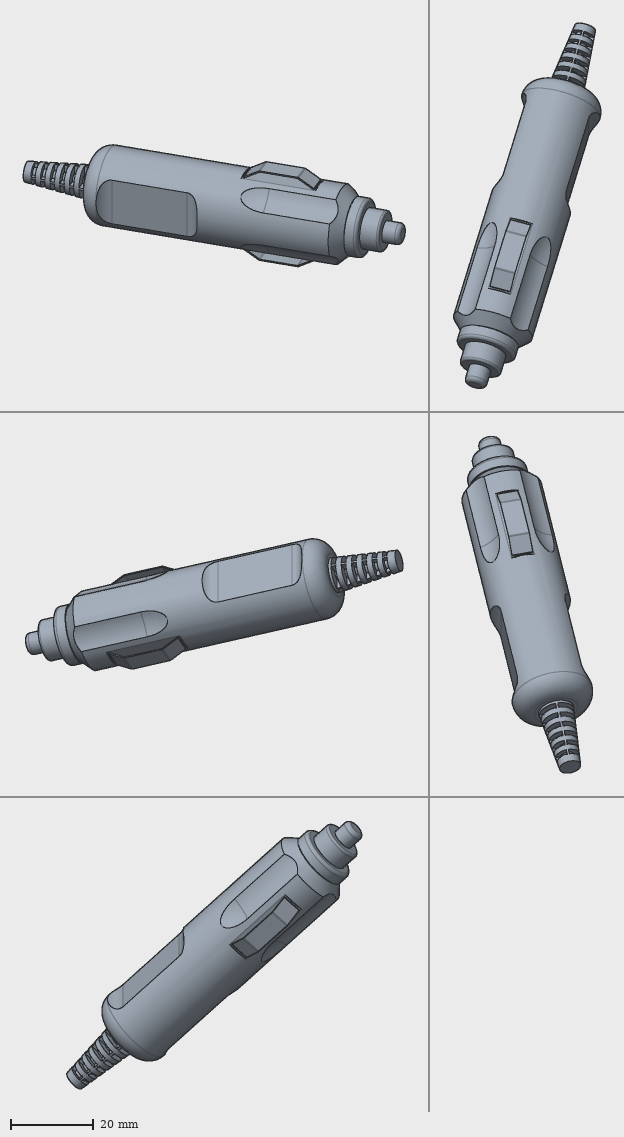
import cadquery as cq
import math


total_length = 97.4
housing_diameter = 20.0
housing_radius = housing_diameter / 2
span_over_clips = 24.6

sleeve_tip_radius = 2.6
sleeve_root_radius = 4.4
sleeve_core_radius = 1.8
sleeve_slot_count = 6
first_slot_start = 2.0
last_slot_start = 15.0
sleeve_slot_pitch = (last_slot_start - first_slot_start) / (sleeve_slot_count - 1)
sleeve_slot_width = 1.2
sleeve_rib_width = 0.6

housing_start = 16.85
rear_round = 4.6
shoulder_start = 81.6
housing_end = 84.7
housing_end_radius = 7.0

flat_start = 24.9
flat_length = 19.4
flat_distance = 8.0
flat_corner_radius = 3.9

flute_count = 4
flute_first_angle = 45.0
flute_radius = 9.3
flute_depth = 1.1
flute_runout_radius = 19.5
flute_runout_end = 64.4

collar_radius = 7.4
collar_end = 88.05
collar_round = 0.9
neck_radius = 5.2
neck_end = 92.9
neck_round = 0.6
contact_radius = 2.7
contact_round = 1.2

clip_center = 66.1
clip_top = span_over_clips / 2
clip_width = 5.2
clip_thickness = 0.34
clip_inner_bend_radius = 0.2
clip_bridge_length = 10.0
clip_bend_offset = clip_bridge_length / 2
clip_leg_angle = math.radians(30.0)
clip_seat_length = 19.2
clip_seat_width = 5.65
clip_seat_height = math.sqrt(housing_radius**2 - (clip_seat_width / 2) ** 2)

opposite_angles = (0, 180)


def turned(angle, shape):
    """Turn a shape about the plug axis, the X axis."""
    return shape.rotate((0, 0, 0), (1, 0, 0), angle)


def cylinder_along_x(radius, start, end):
    return cq.Workplane("YZ", origin=(start, 0, 0)).circle(radius).extrude(end - start)


def make_barrel():
    """Revolved housing: rounded rear end, straight barrel and conical shoulder."""
    round_middle = rear_round * (1 - math.sqrt(0.5))
    outline = (
        cq.Workplane("XY")
        .moveTo(housing_start, 0)
        .lineTo(housing_start, housing_radius - rear_round)
        .threePointArc(
            (housing_start + round_middle, housing_radius - round_middle),
            (housing_start + rear_round, housing_radius),
        )
        .lineTo(shoulder_start, housing_radius)
        .lineTo(housing_end, housing_end_radius)
        .lineTo(housing_end, 0)
        .close()
    )
    return outline.revolve(360, (0, 0, 0), (1, 0, 0))


def make_sleeve():
    """Tapered cable sleeve with rings of slots, split by four ribs that run along it."""
    sleeve = (
        cq.Workplane("XY")
        .polyline([(0, 0), (0, sleeve_tip_radius), (housing_start, sleeve_root_radius), (housing_start, 0)])
        .close()
        .revolve(360, (0, 0, 0), (1, 0, 0))
    )
    rib_span = 2 * sleeve_root_radius
    for index in range(sleeve_slot_count):
        slot_start = first_slot_start + index * sleeve_slot_pitch
        plane = cq.Workplane("YZ", origin=(slot_start, 0, 0))
        ring = plane.circle(sleeve_root_radius).circle(sleeve_core_radius).extrude(sleeve_slot_width)
        upright_ribs = plane.rect(sleeve_rib_width, rib_span).extrude(sleeve_slot_width)
        level_ribs = plane.rect(rib_span, sleeve_rib_width).extrude(sleeve_slot_width)
        sleeve = sleeve.cut(ring.cut(upright_ribs).cut(level_ribs))
    return sleeve


def make_flat_cutter():
    """Block that cuts the -Y finger flat, its floor curving up to the barrel at both ends."""
    cutter_length = flat_length + 2 * flat_corner_radius
    cutter_depth = 2 * flat_corner_radius
    return (
        cq.Workplane("XY")
        .box(cutter_length, cutter_depth, 2 * housing_radius)
        .edges("|Z and >Y")
        .fillet(flat_corner_radius)
        .translate((flat_start + flat_length / 2, -flat_distance - cutter_depth / 2, 0))
    )


def make_flute_cutter():
    """Round bar above the axis that cuts a flute, with a curved rear end that runs out of the barrel."""
    floor_height = housing_radius - flute_depth
    bar_height = floor_height + flute_radius
    turning_offset = flute_runout_radius - flute_radius
    plane = cq.Workplane("YZ", origin=(flute_runout_end, 0, bar_height))
    bar = plane.circle(flute_radius).extrude(housing_end - flute_runout_end)
    runout = plane.circle(flute_radius).revolve(90, (0, turning_offset, 0), (1, turning_offset, 0))
    return bar.union(runout)


def make_clip_seat_cutter():
    """Block that cuts the shallow +Z flat under a clip."""
    cutter_height = housing_radius - clip_seat_height
    return (
        cq.Workplane("XY", origin=(clip_center, 0, clip_seat_height))
        .rect(clip_seat_length, clip_seat_width)
        .extrude(cutter_height)
    )


def make_housing():
    housing = make_barrel().union(make_sleeve())
    for angle in opposite_angles:
        housing = housing.cut(turned(angle, make_flat_cutter()))
    for index in range(flute_count):
        angle = flute_first_angle + index * 360 / flute_count
        housing = housing.cut(turned(angle, make_flute_cutter()))
    for angle in opposite_angles:
        housing = housing.cut(turned(angle, make_clip_seat_cutter()))
    return housing


def make_nose():
    """Collar, neck and round-ended contact that stand on the front face of the housing."""
    collar = cylinder_along_x(collar_radius, housing_end, collar_end).edges(">X").fillet(collar_round)
    neck = cylinder_along_x(neck_radius, collar_end, neck_end).edges(">X").fillet(neck_round)
    contact = cylinder_along_x(contact_radius, neck_end, total_length).edges(">X").fillet(contact_round)
    return collar.union(neck).union(contact)


def make_clip():
    """Bent strip on the +Z side whose two sloping legs stand on the clip seat."""
    under_side = clip_top - clip_thickness
    inner_bend = clip_bend_offset - clip_thickness * math.tan(clip_leg_angle / 2)
    foot = inner_bend + (under_side - clip_seat_height) / math.tan(clip_leg_angle)
    foot_top = clip_seat_height + clip_thickness / math.cos(clip_leg_angle)
    strip = (
        cq.Workplane("XZ", origin=(clip_center, 0, 0))
        .polyline(
            [
                (-foot, clip_seat_height),
                (-foot, foot_top),
                (-clip_bend_offset, clip_top),
                (clip_bend_offset, clip_top),
                (foot, foot_top),
                (foot, clip_seat_height),
                (inner_bend, under_side),
                (-inner_bend, under_side),
            ]
        )
        .close()
        .extrude(clip_width / 2, both=True)
    )
    strip = strip.faces(">Z").edges("|Y").fillet(clip_inner_bend_radius + clip_thickness)
    return strip.faces("-Z").edges("|Y").fillet(clip_inner_bend_radius)


housing = make_housing()
nose = make_nose()
clips = [turned(angle, make_clip()) for angle in opposite_angles]

result = cq.Compound.makeCompound([housing.val(), nose.val(), *[clip.val() for clip in clips]])